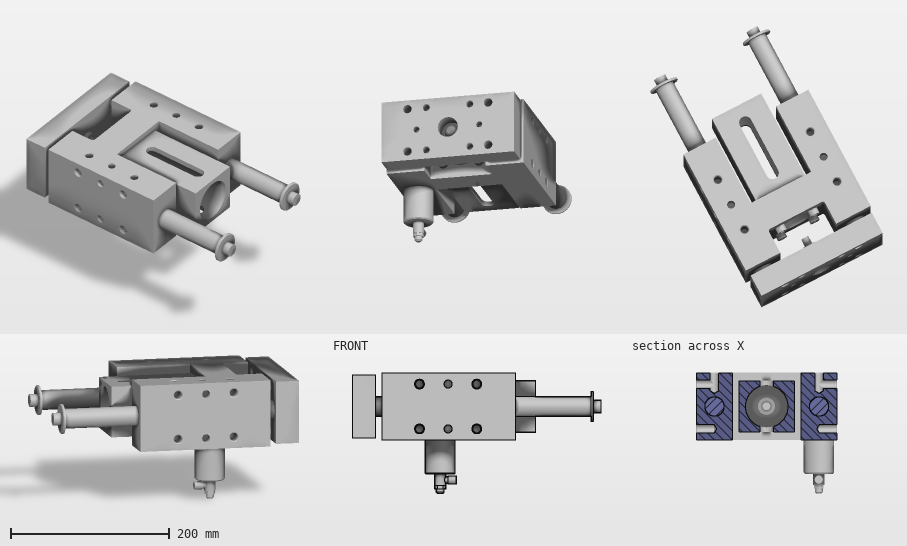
import cadquery as cq
import math


rod_dia = 25.0
rod_offset = 66.0
stop_dia = 38.0
stop_start = 301.0
stop_thickness = 3.0
stop_chamfer = 1.0
stop_head_dia = 16.0
overall_length = 314.0

plate_thickness = 29.5
plate_width = 172.7
plate_height = 79.8
clearance_dia = 11.0
clearance_offset_y = 52.5
tap_offset = 28.3
plate_tap_dia = 8.5
plate_tap_rim = 10.0
plate_tap_depth = 15.7
plate_dowel_dia = 8.0
plate_dowel_offset = 40.8
plate_dowel_depth = 12.0

recess_dia = 26.0
recess_depth = 22.0
washer_dia = 22.0
washer_height = 0.5
ball_dia = 18.0
ball_flat_dia = 8.8
socket_flats = 5.0
socket_depth = 0.5
collar_length = 5.5
stud_dia = 10.0
stud_end = 46.5

housing_start = 37.5
housing_end = 206.0
housing_width = 178.0
housing_height = 84.8
crossbar_start = 70.5
crossbar_end = 111.0
front_pocket_width = 79.8
rear_pocket_width = 86.0
pocket_fillet = 3.0

block_end = 231.0
block_width = 70.0
block_height = 65.0
bore_dia = 53.0
slot_start = 126.2
slot_end = 215.0
slot_width = 16.0

hole_mid_x = 121.0
hole_spacing_x = 72.2
side_hole_height = 28.3
tap_dia = 10.0
tap_rim = 12.2
tap_depth = 22.5
dowel_dia = 10.0
dowel_depth = 12.0
drill_point_angle = 118.0

cap_screw_offset = 23.2
cap_head_dia = 13.0
cap_head_height = 8.0
cap_socket_dia = 5.0
cap_socket_rim = 5.3
cap_socket_depth = 4.0

clamp_x = 110.8
clamp_dia = 38.0
clamp_length = 43.0
clamp_chamfer = 1.5
fitting_dia = 14.0
fitting_length = 14.0
nut_flats = 12.2
nut_height = 4.5
tip_dia = 10.0
tip_chamfer = 2.0
total_height = 152.3
port_drop = 7.2
port_neck_dia = 8.5
port_neck_end = 121.0
port_dia = 10.5
port_end = 131.3
port_chamfer = 0.3

SIDES = (-1, 1)


def x_cylinder(diameter, start, end, y=0.0, z=0.0):
    """Cylinder along X between two X positions."""
    return cq.Workplane("YZ", origin=(start, y, z)).circle(diameter / 2).extrude(end - start)


def z_cylinder(diameter, top, bottom, x, y):
    """Cylinder along Z hanging from one Z position down to another."""
    return cq.Workplane("XY", origin=(x, y, bottom)).circle(diameter / 2).extrude(top - bottom)


def block(x_range, width, height):
    """Box between two X positions, centred on the X axis."""
    start, end = x_range
    return cq.Workplane("XY").box(end - start, width, height).translate(((start + end) / 2, 0, 0))


def hexagon(plane, flats, depth):
    """Hexagonal prism with the given size across flats."""
    return cq.Workplane(plane).polygon(6, flats / math.cos(math.pi / 6)).extrude(depth)


def tapped_hole(point, inward, diameter, rim_diameter, depth):
    """Blind drilled hole with a 45 degree countersunk rim and a conical bottom."""
    radius = diameter / 2
    rim_radius = rim_diameter / 2
    tip = depth + radius / math.tan(math.radians(drill_point_angle / 2))
    profile = (
        cq.Workplane("XZ")
        .moveTo(0, 0)
        .lineTo(rim_radius, 0)
        .lineTo(radius, rim_radius - radius)
        .lineTo(radius, depth)
        .lineTo(0, tip)
        .close()
    )
    tool = profile.revolve(360, (0, 0, 0), (0, 1, 0)).val()
    return cq.Workplane(tool.moved(cq.Plane(point, normal=inward).location))


def plain_hole(point, inward, diameter, depth):
    """Flat-bottomed hole."""
    return cq.Workplane(cq.Plane(point, normal=inward)).circle(diameter / 2).extrude(depth)



def make_rod(y):
    """Guide rod with its stop disc and screw head at the far end."""
    stop_end = stop_start + stop_thickness
    stop = x_cylinder(stop_dia, stop_start, stop_end, y).faces(">X").chamfer(stop_chamfer)
    rod = x_cylinder(rod_dia, plate_thickness, stop_start, y)
    head = x_cylinder(stop_head_dia, stop_end, overall_length, y)
    return rod.union(stop).union(head)


def make_plate():
    """Front plate with its clearance, tapped and dowel holes and the central recess."""
    plate = block((0, plate_thickness), plate_width, plate_height)
    inward = (1, 0, 0)
    for y_side in SIDES:
        for z_side in SIDES:
            z = z_side * tap_offset
            clearance_point = (0, y_side * clearance_offset_y, z)
            tap_point = (0, y_side * tap_offset, z)
            plate = plate.cut(plain_hole(clearance_point, inward, clearance_dia, plate_thickness))
            plate = plate.cut(tapped_hole(tap_point, inward, plate_tap_dia, plate_tap_rim, plate_tap_depth))
        dowel_point = (0, y_side * plate_dowel_offset, 0)
        plate = plate.cut(plain_hole(dowel_point, inward, plate_dowel_dia, plate_dowel_depth))
    return plate.cut(x_cylinder(recess_dia, 0, recess_depth))


def make_coupling_screw():
    """Ball-headed screw in the plate recess, with a collar and stud behind the plate."""
    washer_face = recess_depth - washer_height
    ball_radius = ball_dia / 2
    flat_face = washer_face - math.sqrt(ball_radius**2 - (ball_flat_dia / 2) ** 2)
    ball = cq.Workplane("XY").sphere(ball_radius).translate((washer_face, 0, 0))
    dome = ball.intersect(x_cylinder(ball_dia, flat_face, washer_face))
    socket = hexagon("YZ", socket_flats, socket_depth).translate((flat_face, 0, 0))
    collar_end = plate_thickness + collar_length
    washer = x_cylinder(washer_dia, washer_face, collar_end)
    stud = x_cylinder(stud_dia, collar_end, stud_end)
    return dome.cut(socket).union(washer).union(stud)


def make_slide():
    """Front plate, both guide rods and the coupling screw as one body."""
    slide = make_plate().union(make_coupling_screw())
    for side in SIDES:
        slide = slide.union(make_rod(side * rod_offset))
    return slide



def make_guide_block():
    """H-shaped block with the adapter block behind its crossbar."""
    body = block((housing_start, housing_end), housing_width, housing_height)
    front_pocket = block((housing_start, crossbar_start), front_pocket_width, housing_height)
    front_pocket = front_pocket.edges("|Z and >X").fillet(pocket_fillet)
    rear_pocket = block((crossbar_end, housing_end), rear_pocket_width, housing_height)
    adapter = block((crossbar_end, block_end), block_width, block_height)
    return body.cut(front_pocket).cut(rear_pocket).union(adapter)


def make_bores():
    """Central bore, slot and the two rod bores."""
    slot = (
        cq.Workplane("XY")
        .center((slot_start + slot_end) / 2, 0)
        .slot2D(slot_end - slot_start, slot_width)
        .extrude(block_height, both=True)
    )
    bores = slot.union(x_cylinder(bore_dia, crossbar_start, block_end))
    for side in SIDES:
        bores = bores.union(x_cylinder(rod_dia, housing_start, housing_end, side * rod_offset))
    return bores


def hole_row(point_at, inward):
    """Two tapped holes with a dowel hole midway; point_at gives the point for an X position."""
    row = plain_hole(point_at(hole_mid_x), inward, dowel_dia, dowel_depth)
    for side in SIDES:
        point = point_at(hole_mid_x + side * hole_spacing_x / 2)
        row = row.union(tapped_hole(point, inward, tap_dia, tap_rim, tap_depth))
    return row


def make_mounting_holes():
    """Hole rows in the top face over each rod, and two rows in each long side."""
    holes = cq.Workplane("XY")
    for side in SIDES:
        top_row = hole_row(lambda x: (x, side * rod_offset, housing_height / 2), (0, 0, -1))
        holes = holes.add(top_row)
        for level in SIDES:
            z = level * side_hole_height
            holes = holes.add(hole_row(lambda x: (x, side * housing_width / 2, z), (0, -side, 0)))
    return holes


def make_cap_screw(y, z):
    """Socket screw head on the front of the crossbar."""
    face = crossbar_start - cap_head_height
    head = x_cylinder(cap_head_dia, face, crossbar_start, y, z)
    return head.cut(tapped_hole((face, y, z), (1, 0, 0), cap_socket_dia, cap_socket_rim, cap_socket_depth))


def make_clamp():
    """Clamping cylinder under one wing, with its air fitting and side port."""
    y = rod_offset
    top = -housing_height / 2
    clamp_bottom = top - clamp_length
    fitting_bottom = clamp_bottom - fitting_length
    nut_bottom = fitting_bottom - nut_height
    tip_bottom = housing_height / 2 - total_height
    clamp = z_cylinder(clamp_dia, top, clamp_bottom, clamp_x, y).faces("<Z").chamfer(clamp_chamfer)
    fitting = z_cylinder(fitting_dia, clamp_bottom, fitting_bottom, clamp_x, y)
    nut = hexagon("XY", nut_flats, nut_height).translate((clamp_x, y, nut_bottom))
    tip = z_cylinder(tip_dia, nut_bottom, tip_bottom, clamp_x, y).faces("<Z").chamfer(tip_chamfer)
    port_z = clamp_bottom - port_drop
    neck = x_cylinder(port_neck_dia, clamp_x, port_neck_end, y, port_z)
    port = x_cylinder(port_dia, port_neck_end, port_end, y, port_z).faces(">X").chamfer(port_chamfer)
    return clamp.union(fitting).union(nut).union(tip).union(neck).union(port)


def make_housing():
    """Guide block with its bores, holes, cap screws and clamping cylinder as one body."""
    housing = make_guide_block().cut(make_bores())
    for row in make_mounting_holes().vals():
        housing = housing.cut(cq.Workplane(row))
    for y_side in SIDES:
        for z_side in SIDES:
            housing = housing.union(make_cap_screw(y_side * cap_screw_offset, z_side * cap_screw_offset))
    return housing.union(make_clamp())


slide = make_slide()
housing = make_housing()
result = cq.Compound.makeCompound([slide.val(), housing.val()])